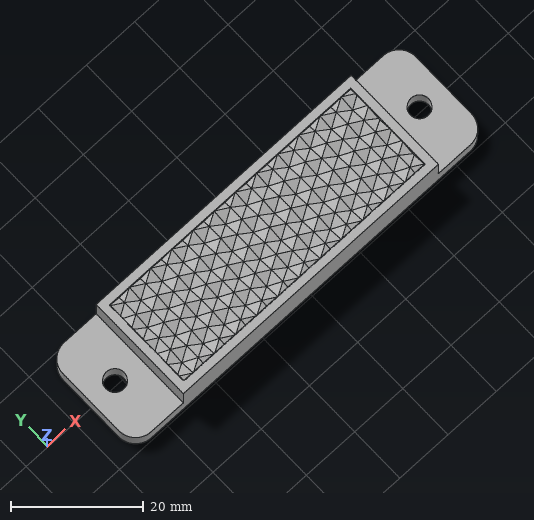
import cadquery as cq
import math

length = 73.2
width = 19.3
plate_thickness = 3.4
corner_radius = 3.5
hole_diameter = 3.7
hole_spacing = 63.2

total_height = 8.3
block_length = 52.9
rim_width = 1.5
pocket_length = block_length - 2 * rim_width
pocket_width = width - 2 * rim_width
pocket_depth = 0.28
pocket_floor = total_height - pocket_depth

pit_sides = 6
pit_pitch = 4.4
pit_depth = 0.8
row_pitch = pit_pitch * math.sqrt(3) / 2
hexagon_radius = pit_pitch / math.sqrt(3)
row_count = 6
pits_per_row = 12


def make_plate():
    """Flat plate with rounded corners and a screw hole at each end."""
    plate = cq.Workplane("XY").box(length, width, plate_thickness, centered=(True, True, False))
    plate = plate.edges("|Z").fillet(corner_radius)
    return plate.faces(">Z").workplane().rarray(hole_spacing, 0.7, 2, 1).hole(hole_diameter)


def make_block():
    """Full-width block with the pocket sunk into its top face."""
    block = cq.Workplane("XY").box(block_length, width, total_height, centered=(True, True, False))
    pocket = (
        cq.Workplane("XY", origin=(0, 0, pocket_floor))
        .rect(pocket_length, pocket_width)
        .extrude(pocket_depth)
    )
    return block.cut(pocket)


def make_polygon_face(points):
    return cq.Face.makeFromWires(cq.Wire.makePolygon(points, close=True))


def make_pit(x, y):
    """Hexagonal pyramid pointing down from the pocket floor, with corners toward +Y and -Y."""
    tip = cq.Vector(x, y, pocket_floor - pit_depth)
    corners = []
    for index in range(pit_sides):
        angle = 2 * math.pi * (index + 0.5) / pit_sides
        corner_x = x + hexagon_radius * math.cos(angle)
        corner_y = y + hexagon_radius * math.sin(angle)
        corners.append(cq.Vector(corner_x, corner_y, pocket_floor))
    faces = [make_polygon_face(corners)]
    for index in range(pit_sides):
        faces.append(make_polygon_face([corners[index - 1], corners[index], tip]))
    return cq.Solid.makeSolid(cq.Shell.makeShell(faces))


def make_pits():
    """Rows of pits, alternately shifted by half a pitch and trimmed at the pocket walls."""
    trim = cq.Solid.makeBox(
        pocket_length,
        pocket_width,
        pit_depth,
        cq.Vector(-pocket_length / 2, -pocket_width / 2, pocket_floor - pit_depth),
    )
    pits = []
    for row in range(row_count):
        y = (row - (row_count - 1) / 2) * row_pitch
        side = 1 if row % 2 else -1
        row_shift = side * pit_pitch / 4
        for column in range(pits_per_row):
            x = (column - (pits_per_row - 1) / 2) * pit_pitch + row_shift
            pits.append(make_pit(x, y).intersect(trim))
    return pits


result = make_plate().union(make_block())
for pit in make_pits():
    result = result.cut(cq.Workplane(pit))